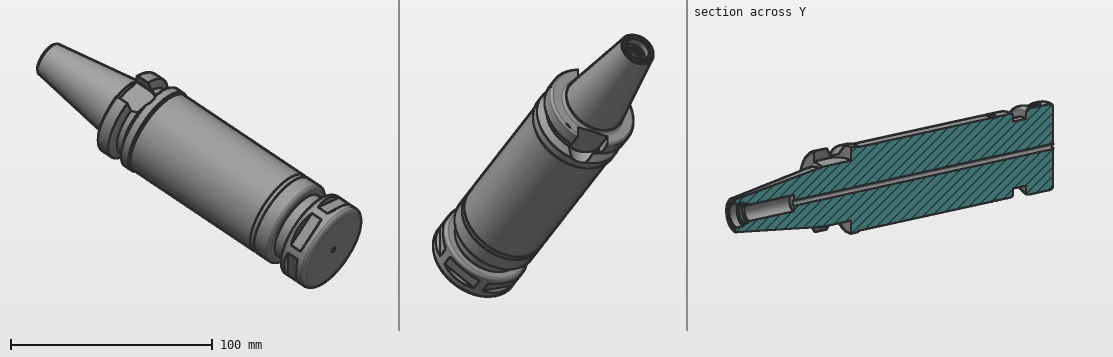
import cadquery as cq
import math

total_length = 183.4
match_tolerance = 0.002

taper_ratio = 7 / 24
taper_length = 48.2
taper_large_dia = 31.7
taper_small_dia = taper_large_dia - taper_ratio * taper_length
tip_edge_length = 0.7
tip_face_dia = 16.5
relief_dia = 31.2
relief_round = 1.5

flange_start = 50.5
flange_dia = 46.2
flange_edge_round = 1.3
flange_groove_dia = 38.1
flange_groove_start = 57.8
flange_groove_floor_start = 60.0
flange_groove_floor_end = 63.6
flange_groove_end = 66.0
flange_end = 70.6

body_dia = 45.0
body_start = 71.5
body_end = 160.3
body_end_round = 1.8
ring_groove_start = 148.2
ring_groove_width = 2.5
ring_groove_depth = 0.2
ring_cutter_margin = 1.8

neck_dia = 36.0
nut_start = 167.6
nut_dia = 46.2
nut_back_round = 1.7
nut_front_round = 2.4

pocket_count = 6
pocket_centre = 174.5
pocket_floor_length = 6.0
pocket_floor_distance = 21.0
pocket_draft = 25.0
pocket_height = 3.7
pocket_width = 36.7

slot_width = 16.1
slot_start = flange_start - relief_round
slot_end = 67.0
slot_floor_height = 16.1

mouth_dia = 14.0
mouth_chamfer = 0.7
pilot_dia = 12.5
pilot_depth = 5.0
thread_dia = 10.5
thread_depth = 7.3
bore_floor_dia = 8.5
bore_depth = 34.0
step_cone_length = 0.7
through_dia = 2.5


def revolve_about_x(contour):
    """Turn a closed (x, radius) contour into a solid."""
    return cq.Workplane("XY").polyline(contour).close().revolve(360, (0, 0, 0), (1, 0, 0))


def rotate_about_x(shape, angle):
    """Turn a cutter round the part's axis."""
    return shape.rotate((0, 0, 0), (1, 0, 0), angle)


def make_outside():
    """Revolve the whole outer contour, then round its circular edges."""
    contour = [
        (0, 0),
        (0, tip_face_dia / 2),
        (tip_edge_length, (taper_small_dia + taper_ratio * tip_edge_length) / 2),
        (taper_length, taper_large_dia / 2),
        (taper_length, relief_dia / 2),
        (flange_start, relief_dia / 2),
        (flange_start, flange_dia / 2),
        (flange_groove_start, flange_dia / 2),
        (flange_groove_floor_start, flange_groove_dia / 2),
        (flange_groove_floor_end, flange_groove_dia / 2),
        (flange_groove_end, flange_dia / 2),
        (flange_end, flange_dia / 2),
        (body_start, body_dia / 2),
        (body_end, body_dia / 2),
        (body_end, neck_dia / 2),
        (nut_start, neck_dia / 2),
        (nut_start, nut_dia / 2),
        (total_length, nut_dia / 2),
        (total_length, 0),
    ]
    solid = revolve_about_x(contour)
    for position, edge_dia, radius in [
        (flange_start, relief_dia, relief_round),
        (flange_start, flange_dia, flange_edge_round),
        (body_end, body_dia, body_end_round),
        (nut_start, nut_dia, nut_back_round),
        (total_length, nut_dia, nut_front_round),
    ]:
        rim_centre = cq.Vector(position, 0, 0)
        rim = [
            edge
            for edge in solid.edges("%CIRCLE").vals()
            if edge.arcCenter().sub(rim_centre).Length < match_tolerance
            and abs(edge.radius() - edge_dia / 2) < match_tolerance
        ]
        solid = solid.newObject(rim).fillet(radius)
    return solid


def make_bore():
    """Stepped bore entering at the small end of the taper, with the small hole running right through."""
    contour = [
        (0, 0),
        (0, mouth_dia / 2),
        (mouth_chamfer, pilot_dia / 2),
        (pilot_depth, pilot_dia / 2),
        (pilot_depth + step_cone_length, thread_dia / 2),
        (thread_depth, thread_dia / 2),
        (thread_depth + step_cone_length, bore_floor_dia / 2),
        (bore_depth, bore_floor_dia / 2),
        (bore_depth, through_dia / 2),
        (total_length, through_dia / 2),
        (total_length, 0),
    ]
    return revolve_about_x(contour)


def make_ring_groove():
    """Shallow groove round the body."""
    return (
        cq.Workplane("YZ", origin=(ring_groove_start, 0, 0))
        .circle(body_dia / 2 + ring_cutter_margin)
        .circle(body_dia / 2 - ring_groove_depth)
        .extrude(ring_groove_width)
    )


def make_drive_slot():
    """Flat-floored slot, open toward the shank and round at its inner end, on the +Z side."""
    straight_end = slot_end - slot_width / 2
    return (
        cq.Workplane("XY", origin=(0, 0, slot_floor_height))
        .moveTo(slot_start, -slot_width / 2)
        .lineTo(straight_end, -slot_width / 2)
        .threePointArc((slot_end, 0), (straight_end, slot_width / 2))
        .lineTo(slot_start, slot_width / 2)
        .close()
        .extrude(flange_dia)
    )


def make_wrench_pocket():
    """Flat across the nut on the +Y side, its two end walls leaning outward."""
    half_floor = pocket_floor_length / 2
    half_mouth = half_floor + pocket_height * math.tan(math.radians(pocket_draft))
    mouth_distance = pocket_floor_distance + pocket_height
    return (
        cq.Workplane("XY")
        .moveTo(pocket_centre - half_floor, pocket_floor_distance)
        .lineTo(pocket_centre + half_floor, pocket_floor_distance)
        .lineTo(pocket_centre + half_mouth, mouth_distance)
        .lineTo(pocket_centre - half_mouth, mouth_distance)
        .close()
        .extrude(pocket_width / 2, both=True)
    )


result = make_outside().cut(make_bore()).cut(make_ring_groove())

drive_slot = make_drive_slot()
for angle in (0, 180):
    result = result.cut(rotate_about_x(drive_slot, angle))

wrench_pocket = make_wrench_pocket()
for index in range(pocket_count):
    result = result.cut(rotate_about_x(wrench_pocket, index * 360 / pocket_count))